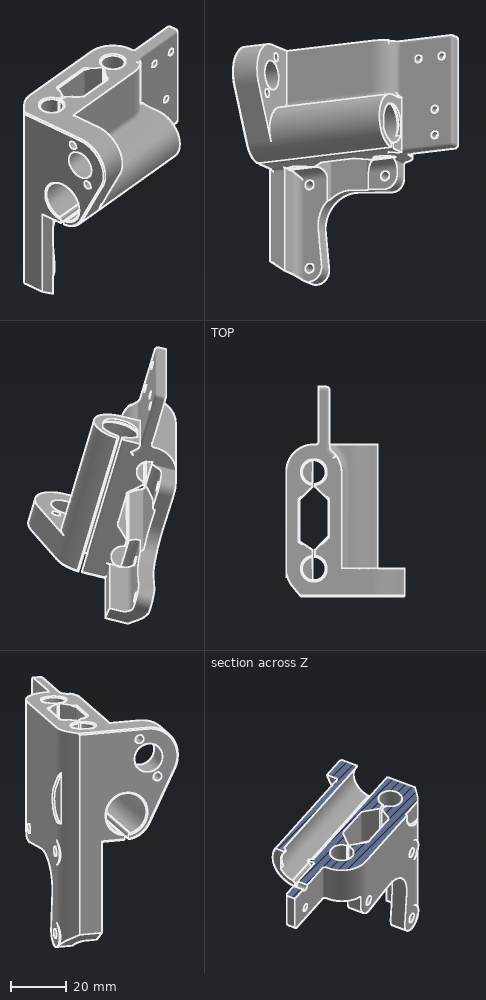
import cadquery as cq
import math


TOP = 83.2
ROOF = 41.4
BODY_RADIUS = 10.1
ROD_X = BODY_RADIUS
ROD_FRONT_Y = 10.15
ROD_BACK_Y = 45.2
BODY_WIDTH = 2 * BODY_RADIUS
BODY_BACK = ROD_BACK_Y + BODY_RADIUS
ROD_BORE_RADIUS = 4.25
ROD_RIM_CHAMFER = 0.5
ROD_FLOOR = 0.5
NOSE_ANGLE = math.radians(40)

SLIT_WIDTH = 0.8
WINDOW_LEFT = 4.9
WINDOW_RIGHT = 15.3
WINDOW_TIP_FRONT = 17.0
WINDOW_TIP_BACK = 39.85
WINDOW_SHOULDER_BACK = 35.2
WINDOW_SHOULDER_LEFT = 20.05
WINDOW_SHOULDER_RIGHT = 21.9
WINDOW_RIM_CHAMFER = 0.4
WINDOW_RIM_OVERRUN = 1.1
WINDOW_CORNER = 1.0

PLATE_THICKNESS = 10.2
PLATE_CHAMFER = 0.5
EAR_X = 31.7
EAR_RADIUS = 11.4
EAR_Z = TOP - EAR_RADIUS
EAR_HOLE_RADIUS = 5.3
EAR_SCREW_RADIUS = 1.6
EAR_SCREW_DISTANCE = 8.1
EAR_SCREW_ANGLE = math.radians(115)

TUBE_X = 23.3
TUBE_RADIUS = 10.0
TUBE_Z = ROOF + TUBE_RADIUS
TUBE_BORE_RADIUS = 7.65
TUBE_RIM_CHAMFER = 0.4
TUBE_GAP = 1.2
TUBE_TIP_FILLET = 1.0
TUBE_BODY_FILLET = 2.9
LIP_OPENING_RADIUS = 6.6
LIP_THICKNESS = 2.0

FLANGE_LEFT = 11.7
FLANGE_RIGHT = 15.8
FLANGE_END = 76.2
FLANGE_CORNER = 1.5
FLANGE_EDGE_FILLET = 1.3
FLANGE_ROOT_LEFT = 1.0
FLANGE_ROOT_RIGHT = 2.5
FLANGE_EDGE_END = math.radians(36)
FLANGE_HOLE_DIAMETER = 2.75
FLANGE_HOLES = [(71.5, 75.5), (62.0, 75.5), (68.6, 56.0), (68.6, 46.4)]

MOTOR_Y = 27.5
SCREW_SPACING = 31.0
SCREW_RADIUS = 1.75
BOSS_RADIUS = 5.0
MOTOR_Z = BOSS_RADIUS + SCREW_SPACING / 2
PILOT_RADIUS = 12.0
MOUNT_THICKNESS = 6.0
MOUNT_FILLET = 3.75
COLUMN_WIDTH = 14.0
COLUMN_DEPTH = 6.15
COLUMN_CORNER = 1.0
COLUMN_FOOT = 7.3
MOUNT_CORNER = 0.7
FRONT_Y = MOTOR_Y - SCREW_SPACING / 2
BACK_Y = MOTOR_Y + SCREW_SPACING / 2
LOW_Z = MOTOR_Z - SCREW_SPACING / 2
HIGH_Z = MOTOR_Z + SCREW_SPACING / 2

RECESS_Y = 7.8
RECESS_Z = 55.0
RECESS_RADIUS = 7.6
RECESS_FRONT = 6.15
RECESS_PEAK = 68.2
RECESS_DEPTH = 0.7
RECESS_TAPER = 35

CLEAR = 0.8
TOUCH = 0.01
REACH = 99.8


def tangent(c1, r1, c2, r2, side):
    """Touch points of a common tangent of two circles; a negative r2 crosses between them."""
    dx = c2[0] - c1[0]
    dy = c2[1] - c1[1]
    angle = math.atan2(dy, dx) + side * math.acos((r1 - r2) / math.hypot(dx, dy))
    nx = math.cos(angle)
    ny = math.sin(angle)
    return (c1[0] + r1 * nx, c1[1] + r1 * ny), (c2[0] + r2 * nx, c2[1] + r2 * ny)


def on_circle(center, radius, angle):
    return center[0] + radius * math.cos(angle), center[1] + radius * math.sin(angle)


def body_column(bottom, top):
    """Body footprint with one slanted front corner, extruded between two heights."""
    front_axis = (ROD_X, ROD_FRONT_Y)
    nose_end = on_circle(front_axis, BODY_RADIUS, math.pi + NOSE_ANGLE)
    nose_mid = on_circle(front_axis, BODY_RADIUS, math.pi + NOSE_ANGLE / 2)
    nose_start = nose_end[0] + nose_end[1] * math.tan(NOSE_ANGLE)
    return (
        cq.Workplane("XY", origin=(0, 0, bottom))
        .moveTo(nose_start, 0)
        .lineTo(BODY_WIDTH, 0)
        .lineTo(BODY_WIDTH, ROD_BACK_Y)
        .threePointArc((ROD_X, BODY_BACK), (0, ROD_BACK_Y))
        .lineTo(0, ROD_FRONT_Y)
        .threePointArc(nose_mid, nose_end)
        .close()
        .extrude(top - bottom)
    )


def front_plate():
    tube = (TUBE_X, TUBE_Z)
    ear = (EAR_X, EAR_Z)
    low, high = tangent(tube, TUBE_RADIUS, ear, EAR_RADIUS, -1)
    return (
        cq.Workplane("XZ")
        .moveTo(ROD_X, ROOF)
        .lineTo(TUBE_X, ROOF)
        .threePointArc(on_circle(tube, TUBE_RADIUS, -math.pi / 4), low)
        .lineTo(*high)
        .threePointArc(on_circle(ear, EAR_RADIUS, math.pi / 4), (EAR_X, TOP))
        .lineTo(ROD_X, TOP)
        .close()
        .extrude(-PLATE_THICKNESS)
    )


def bearing_tube(length):
    """Tube whose left half is squared off to join the body."""
    barrel = cq.Workplane("XZ").center(TUBE_X, TUBE_Z).circle(TUBE_RADIUS).extrude(-length)
    web = cq.Workplane("XY", origin=(ROD_X, 0, ROOF)).box(
        TUBE_X - ROD_X, length, 2 * TUBE_RADIUS, centered=False
    )
    return barrel.union(web)


def on_tube_seam(edge):
    """Edges where the flat top of the tube runs into the body's side."""
    center = edge.Center()
    beside_body = FLANGE_RIGHT + CLEAR < center.x < BODY_WIDTH + CLEAR
    at_tube_top = abs(center.z - TUBE_Z - TUBE_RADIUS) < CLEAR
    return beside_body and at_tube_top and center.y > PLATE_THICKNESS


def tube_blend():
    """Rounded valley between the body's side and the top of the tube, wrapping to the flange."""
    beyond_flange = cq.Workplane("XY", origin=(FLANGE_RIGHT, PLATE_THICKNESS - CLEAR, TUBE_Z)).box(
        REACH, REACH, TOP - TUBE_Z, centered=False
    )
    joint = body_column(ROOF, TOP).union(bearing_tube(REACH)).intersect(beyond_flange)
    joint = joint.edges().filter(on_tube_seam).fillet(TUBE_BODY_FILLET)
    trim = cq.Workplane("XY").box(REACH, BODY_BACK, TOP, centered=False)
    return joint.intersect(trim)


def root_arc(face_x, radius, side):
    """Root fillet between a flange face and the body's back: face point, middle, body point."""
    center_x = face_x + side * radius
    dx = center_x - ROD_X
    reach = BODY_RADIUS + radius
    dy = math.sqrt(reach**2 - dx**2)
    center = (center_x, ROD_BACK_Y + dy)
    to_body = math.atan2(-dy, -dx)
    to_face = 0.0
    if side > 0:
        to_face = math.pi
        to_body += 2 * math.pi
    middle = on_circle(center, radius, (to_body + to_face) / 2)
    return (face_x, center[1]), middle, on_circle(center, radius, to_body)


def flange_blank():
    """Flange with its root fillets and the sector of the body that carries its rounded edge."""
    body_axis = (ROD_X, ROD_BACK_Y)
    left_face, left_mid, left_body = root_arc(FLANGE_LEFT, FLANGE_ROOT_LEFT, -1)
    right_face, right_mid, right_body = root_arc(FLANGE_RIGHT, FLANGE_ROOT_RIGHT, 1)
    root_angle = math.atan2(right_body[1] - ROD_BACK_Y, right_body[0] - ROD_X)
    sector_end = on_circle(body_axis, BODY_RADIUS, FLANGE_EDGE_END)
    sector_mid = on_circle(body_axis, BODY_RADIUS, (FLANGE_EDGE_END + root_angle) / 2)
    return (
        cq.Workplane("XY", origin=(0, 0, ROOF))
        .moveTo(FLANGE_RIGHT, FLANGE_END)
        .lineTo(FLANGE_LEFT, FLANGE_END)
        .lineTo(*left_face)
        .threePointArc(left_mid, left_body)
        .lineTo(*body_axis)
        .lineTo(*sector_end)
        .threePointArc(sector_mid, right_body)
        .threePointArc(right_mid, right_face)
        .close()
        .extrude(TOP - ROOF)
        .faces(">Y")
        .edges("|X")
        .fillet(FLANGE_CORNER)
    )


def on_flange_rim(edge):
    """Edges around the right face of the flange."""
    center = edge.Center()
    return abs(center.x - FLANGE_RIGHT) < TOUCH and center.y > BODY_BACK


def rear_flange():
    holes = cq.Workplane("YZ").pushPoints(FLANGE_HOLES).circle(FLANGE_HOLE_DIAMETER / 2).extrude(REACH)
    return flange_blank().edges().filter(on_flange_rim).fillet(FLANGE_EDGE_FILLET).cut(holes)


def motor_mount():
    """Plate with three screw bosses and a front column, hollowed by the motor's pocket."""
    pilot = (MOTOR_Y, MOTOR_Z)
    foot = (FRONT_Y, LOW_Z)
    heel = (BACK_Y, HIGH_Z)
    slope_start, slope_end = tangent((0, COLUMN_FOOT), 0, foot, BOSS_RADIUS, -1)
    leg_low, leg_high = tangent(foot, BOSS_RADIUS, pilot, -PILOT_RADIUS, -1)
    arm_out, arm_in = tangent(heel, BOSS_RADIUS, pilot, -PILOT_RADIUS, 1)
    back = BACK_Y + BOSS_RADIUS
    diagonal = -math.pi / 4
    corner_center = (back + MOUNT_CORNER, ROOF - MOUNT_CORNER)
    outline = (
        cq.Workplane("YZ")
        .moveTo(*slope_start)
        .lineTo(*slope_end)
        .threePointArc(on_circle(foot, BOSS_RADIUS, diagonal), leg_low)
        .lineTo(*leg_high)
        .threePointArc(on_circle(pilot, PILOT_RADIUS, 3 * math.pi / 4), arm_in)
        .lineTo(*arm_out)
        .threePointArc(on_circle(heel, BOSS_RADIUS, diagonal), (back, HIGH_Z))
        .lineTo(back, ROOF - MOUNT_CORNER)
        .threePointArc(on_circle(corner_center, MOUNT_CORNER, 3 * math.pi / 4), (back + MOUNT_CORNER, ROOF))
        .lineTo(0, ROOF)
        .close()
        .extrude(COLUMN_WIDTH)
    )
    bosses = (
        cq.Workplane("YZ")
        .pushPoints([(FRONT_Y, LOW_Z), (FRONT_Y, HIGH_Z)])
        .circle(BOSS_RADIUS)
        .extrude(MOUNT_THICKNESS)
    )
    pocket = (
        cq.Workplane("XY")
        .box(REACH, REACH, ROOF + CLEAR, centered=False)
        .translate((MOUNT_THICKNESS, COLUMN_DEPTH, -CLEAR))
    )
    pocket = pocket.faces("<X").edges("<Y or >Z").fillet(MOUNT_FILLET)
    return outline.intersect(body_column(0, ROOF)).union(bosses).cut(pocket)


def rod_bore(y):
    """Bore with a chamfered rim; its left half stops on a thin floor above the roof."""
    bore = cq.Workplane("XY", origin=(ROD_X, y, ROOF)).circle(ROD_BORE_RADIUS).extrude(TOP - ROOF)
    floor = cq.Workplane("XY", origin=(0, 0, ROOF)).box(
        ROD_X - SLIT_WIDTH / 2, BODY_BACK, ROD_FLOOR, centered=False
    )
    rim = (
        cq.Workplane("XY", origin=(ROD_X, y, TOP))
        .circle(ROD_BORE_RADIUS + ROD_RIM_CHAMFER)
        .extrude(-ROD_RIM_CHAMFER, taper=45)
    )
    return bore.cut(floor).union(rim)


def window():
    slit_left = ROD_X - SLIT_WIDTH / 2
    slit_right = ROD_X + SLIT_WIDTH / 2
    outline = [
        (slit_left, WINDOW_TIP_FRONT),
        (slit_right, WINDOW_TIP_FRONT),
        (WINDOW_RIGHT, WINDOW_SHOULDER_RIGHT),
        (WINDOW_RIGHT, WINDOW_SHOULDER_BACK),
        (slit_right, WINDOW_TIP_BACK),
        (slit_left, WINDOW_TIP_BACK),
        (WINDOW_LEFT, WINDOW_SHOULDER_BACK),
        (WINDOW_LEFT, WINDOW_SHOULDER_LEFT),
    ]
    opening = cq.Workplane("XY").polyline(outline).close().extrude(TOP)
    opening = opening.faces("<X or >X").edges("|Z").fillet(WINDOW_CORNER)
    rim_start = WINDOW_SHOULDER_LEFT - WINDOW_RIM_OVERRUN
    rim_end = WINDOW_SHOULDER_BACK + WINDOW_RIM_OVERRUN
    rim_span = cq.Workplane("XY", origin=(0, rim_start, 0)).box(
        BODY_WIDTH, rim_end - rim_start, REACH, centered=False
    )
    rim = (
        cq.Workplane("XY", origin=(0, 0, TOP - WINDOW_RIM_CHAMFER))
        .polyline(outline)
        .close()
        .extrude(WINDOW_RIM_CHAMFER, taper=-45)
        .intersect(rim_span)
    )
    slit = cq.Workplane("XY", origin=(slit_left, ROD_FRONT_Y, ROOF - MOUNT_FILLET)).box(
        SLIT_WIDTH, ROD_BACK_Y - ROD_FRONT_Y, REACH, centered=False
    )
    return opening.union(rim).union(slit)


def tube_openings():
    """Bearing bore that narrows to an arched lip at its back end."""
    narrowing = TUBE_BORE_RADIUS - LIP_OPENING_RADIUS
    bore_length = BODY_BACK - LIP_THICKNESS
    front = cq.Workplane("XZ").center(TUBE_X, TUBE_Z)
    bore = front.circle(TUBE_BORE_RADIUS).extrude(-bore_length)
    cone = (
        cq.Workplane("XZ", origin=(0, bore_length, 0))
        .center(TUBE_X, TUBE_Z)
        .circle(TUBE_BORE_RADIUS)
        .extrude(-narrowing, taper=45)
    )
    rim = front.circle(TUBE_BORE_RADIUS + TUBE_RIM_CHAMFER).extrude(-TUBE_RIM_CHAMFER, taper=45)
    arch = front.circle(LIP_OPENING_RADIUS).extrude(-REACH)
    legs = (
        front.center(0, -TUBE_BORE_RADIUS / 2)
        .rect(2 * LIP_OPENING_RADIUS, TUBE_BORE_RADIUS)
        .extrude(-REACH)
        .intersect(front.circle(TUBE_BORE_RADIUS).extrude(-REACH))
    )
    return bore.union(cone).union(rim).union(arch).union(legs)


def tube_gap():
    """Gap along the tube's underside, with all four corners of its jaws rounded."""
    axis = cq.Workplane("XZ").center(TUBE_X, TUBE_Z)
    gap = axis.center(0, -TUBE_RADIUS).rect(TUBE_GAP, TUBE_RADIUS).extrude(-REACH)
    for side in (-1, 1):
        round_x = side * (TUBE_GAP / 2 + TUBE_TIP_FILLET)
        for wall_radius, inward in ((TUBE_BORE_RADIUS, 1), (TUBE_RADIUS, -1)):
            round_z = -wall_radius - inward * TUBE_TIP_FILLET
            corner = (
                axis.center(round_x - side * TUBE_TIP_FILLET / 2, round_z + inward * TUBE_TIP_FILLET)
                .rect(TUBE_TIP_FILLET, 2 * TUBE_TIP_FILLET)
                .extrude(-REACH)
            )
            jaw = axis.center(round_x, round_z).circle(TUBE_TIP_FILLET).extrude(-REACH)
            gap = gap.union(corner.cut(jaw))
    return gap


def ear_holes():
    face = cq.Workplane("XZ").center(EAR_X, EAR_Z)
    screw = on_circle((0, 0), EAR_SCREW_DISTANCE, EAR_SCREW_ANGLE)
    screws = face.pushPoints([screw, (-screw[0], -screw[1])]).circle(EAR_SCREW_RADIUS).extrude(-REACH)
    return face.circle(EAR_HOLE_RADIUS).extrude(-REACH).union(screws)


def motor_screw_holes():
    points = [(FRONT_Y, LOW_Z), (FRONT_Y, HIGH_Z), (BACK_Y, HIGH_Z)]
    return cq.Workplane("YZ").pushPoints(points).circle(SCREW_RADIUS).extrude(COLUMN_WIDTH)


def side_recess():
    peak = (RECESS_FRONT, RECESS_PEAK)
    center = (RECESS_Y, RECESS_Z)
    start, touch = tangent(peak, 0, center, RECESS_RADIUS, 1)
    floor_z = RECESS_Z - RECESS_RADIUS
    return (
        cq.Workplane("YZ")
        .moveTo(*start)
        .lineTo(*touch)
        .threePointArc(on_circle(center, RECESS_RADIUS, -math.pi / 4), (RECESS_Y, floor_z))
        .lineTo(RECESS_FRONT, floor_z)
        .close()
        .extrude(RECESS_DEPTH, taper=RECESS_TAPER)
    )


def on_plate_rim(edge):
    """Outer edges of the front face, without the slanted nose."""
    center = edge.Center()
    return center.z > ROOF - CLEAR and center.x > BODY_RADIUS


def at_column_corner(edge):
    """Inner corner between the column's right side and the roof."""
    center = edge.Center()
    return abs(center.x - COLUMN_WIDTH) < TOUCH and abs(center.z - ROOF) < TOUCH


shell = body_column(ROOF, TOP).union(front_plate()).union(bearing_tube(BODY_BACK)).union(tube_blend())
shell = shell.cut(flange_blank()).union(rear_flange()).union(motor_mount())
shell = shell.faces("<Y").edges().filter(on_plate_rim).chamfer(PLATE_CHAMFER)
shell = shell.edges("|Y").filter(at_column_corner).fillet(COLUMN_CORNER)
shell = shell.cut(tube_openings()).cut(tube_gap()).cut(ear_holes())

result = shell.cut(window())
for rod_y in (ROD_FRONT_Y, ROD_BACK_Y):
    result = result.cut(rod_bore(rod_y))
result = result.cut(motor_screw_holes()).cut(side_recess())